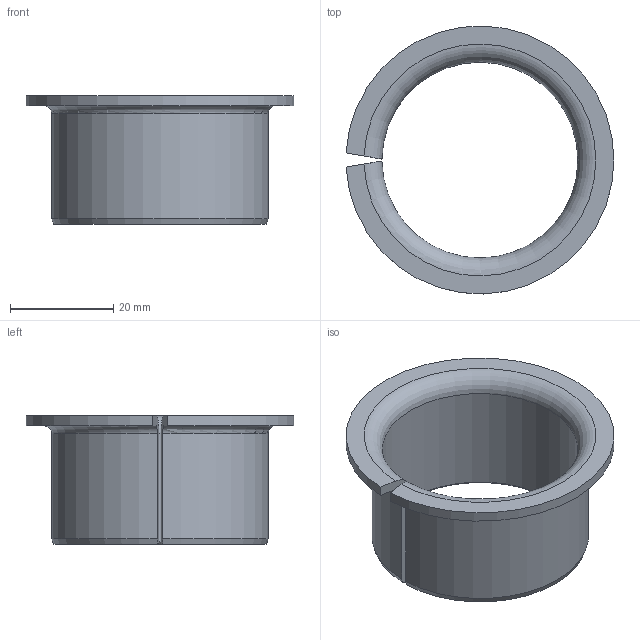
import cadquery as cq
import math

length = 25.0
wall = 2.0
bore_radius = 19.0
flange_radius = 26.0
outer_bend_radius = 1.5
lead_in_height = 1.1
lead_in_angle = 20.0
bore_chamfer = 0.5
slit_inner_width = 0.4
slit_half_angle = 9.5
slit_overrun = 2.0

sleeve_radius = bore_radius + wall
inner_bend_radius = outer_bend_radius + wall
bend_center_r = sleeve_radius + outer_bend_radius
bend_center_z = length - inner_bend_radius
flange_bottom = length - wall
lead_in_width = lead_in_height * math.tan(math.radians(lead_in_angle))


def bend_midpoint(radius):
    """Middle of a quarter arc in the bend between sleeve and flange."""
    offset = radius * math.sqrt(0.5)
    return (bend_center_r - offset, bend_center_z + offset)


def make_bushing():
    """Sleeve rolled over into a flange of the same wall thickness, turned about Z."""
    profile = (
        cq.Workplane("XZ")
        .moveTo(bore_radius, bore_chamfer)
        .lineTo(bore_radius + bore_chamfer, 0)
        .lineTo(sleeve_radius - lead_in_width, 0)
        .lineTo(sleeve_radius, lead_in_height)
        .lineTo(sleeve_radius, bend_center_z)
        .threePointArc(bend_midpoint(outer_bend_radius), (bend_center_r, flange_bottom))
        .lineTo(flange_radius, flange_bottom)
        .lineTo(flange_radius, length)
        .lineTo(bend_center_r, length)
        .threePointArc(bend_midpoint(inner_bend_radius), (bore_radius, bend_center_z))
        .close()
    )
    bushing = profile.revolve(360, (0, 0, 0), (0, 1, 0))
    return bushing.rotate((0, 0, 0), (0, 0, 1), 180)


def make_slit():
    """Full-height wedge on the -X side that widens outward from inside the bore."""
    apex_r = bore_radius - slit_inner_width / 2 / math.tan(math.radians(slit_half_angle))
    reach_r = flange_radius + slit_overrun
    half_width = (reach_r - apex_r) * math.tan(math.radians(slit_half_angle))
    return (
        cq.Workplane("XY")
        .moveTo(-apex_r, 0)
        .lineTo(-reach_r, half_width)
        .lineTo(-reach_r, -half_width)
        .close()
        .extrude(length)
    )


result = make_bushing().cut(make_slit())